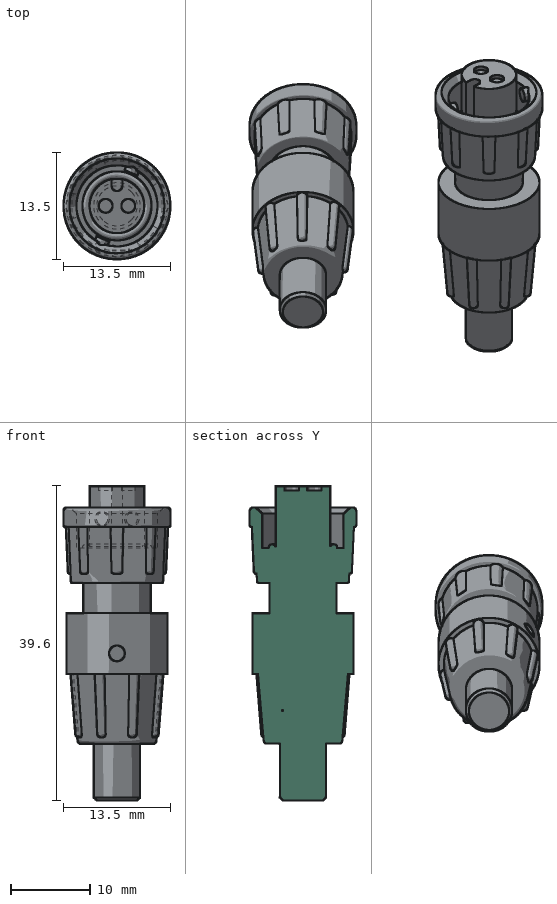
import cadquery as cq


TOTAL_HEIGHT = 39.62
COLLAR_TOP = 36.95
COLLAR_BOTTOM = 34.45
NUT_BOTTOM = 27.4
BARREL_TOP = 23.6
BARREL_BOTTOM = 15.93
TAIL_BOTTOM = 7.15

NOSE_RADIUS = 3.45
COLLAR_DIAMETER = 13.5
COLLAR_RADIUS = COLLAR_DIAMETER / 2
NUT_TOP_RADIUS = 6.15
NUT_BOTTOM_RADIUS = 5.82
NECK_RADIUS = 4.28
BARREL_RADIUS = 6.38
TAIL_TOP_RADIUS = 5.7
TAIL_BOTTOM_RADIUS = 4.95
CABLE_RADIUS = 2.95

COLLAR_TOP_FILLET = 0.48
COLLAR_BOTTOM_FILLET = 0.25
NUT_BOTTOM_FILLET = 0.2
TAIL_FILLET = 0.48
CABLE_CHAMFER = 0.4

SOCKET_RADIUS = 5.1
SOCKET_MOUTH_RADIUS = 6.0
SOCKET_CHAMFER_DEPTH = 0.8
SOCKET_FLOOR = 31.85

SEAL_SECTION_RADIUS = 0.48
SEAL_OUTER_RADIUS = 4.35

PIN_RADIUS = 0.87
PIN_INNER_REACH = 4.5
PIN_HEIGHT = 35.5
PIN_ANGLE = 67

CONTACT_RADIUS = 0.87
CONTACT_OFFSET = 1.43
CONTACT_DEPTH = 0.5
KEYWAY_WIDTH = 1.35
KEYWAY_INNER_REACH = 1.85

BARREL_HOLE_RADIUS = 1.0
BARREL_HOLE_HEIGHT = 18.55
BARREL_HOLE_DEPTH = 0.85

RIB_COUNT = 8
NUT_RIB_TOP_RADIUS = 1.05
NUT_RIB_BOTTOM_RADIUS = 0.85
NUT_RIB_BOTTOM = 28.55
NUT_RIB_PROJECTION = 0.3
NUT_RIB_FILLET = 0.3
TAIL_RIB_TOP_RADIUS = 0.67
TAIL_RIB_BOTTOM_RADIUS = 0.55
TAIL_RIB_BOTTOM = 7.95
TAIL_RIB_PROJECTION = 0.6
TAIL_RIB_FILLET = 0.45


def cylinder(radius, bottom, top):
    return cq.Workplane("XY").workplane(offset=bottom).circle(radius).extrude(top - bottom)


def cone(bottom_radius, top_radius, bottom, top):
    profile = [(0, bottom), (bottom_radius, bottom), (top_radius, top), (0, top)]
    return cq.Workplane("XZ").polyline(profile).close().revolve(360, (0, 0), (0, 1))


def ribs(cone_slope, cone_top_radius, top, rib_bottom, bottom_radius, top_radius, projection, fillet, first_angle):
    """Tapered round ribs that follow a cone and stand proud of it, each with a rounded lower end."""
    length = top - rib_bottom
    crest_top = cone_top_radius + projection
    crest_bottom = crest_top - cone_slope * length
    center_top = top_radius - crest_top
    center_bottom = bottom_radius - crest_bottom
    rib = (
        cq.Workplane("XY", origin=(center_bottom, 0, rib_bottom))
        .circle(bottom_radius)
        .workplane(offset=length)
        .center(center_top - center_bottom, 0)
        .circle(top_radius)
        .loft()
        .faces("<Z")
        .edges()
        .fillet(fillet)
    )
    group = cq.Workplane("XY")
    for index in range(RIB_COUNT):
        angle = first_angle + index * 360 / RIB_COUNT
        group = group.add(rib.rotate((0, 0, 0), (0, 0, 1), angle))
    return group.combine()


def coupling_nut():
    collar = (
        cylinder(COLLAR_RADIUS, COLLAR_BOTTOM, COLLAR_TOP)
        .faces(">Z").edges().fillet(COLLAR_TOP_FILLET)
        .faces("<Z").edges().fillet(COLLAR_BOTTOM_FILLET)
    )
    grip = cone(NUT_BOTTOM_RADIUS, NUT_TOP_RADIUS, NUT_BOTTOM, COLLAR_BOTTOM)
    grip = grip.faces("<Z").edges().fillet(NUT_BOTTOM_FILLET)
    grip_ribs = ribs(
        cone_slope=(NUT_TOP_RADIUS - NUT_BOTTOM_RADIUS) / (COLLAR_BOTTOM - NUT_BOTTOM),
        cone_top_radius=NUT_TOP_RADIUS,
        top=COLLAR_BOTTOM,
        rib_bottom=NUT_RIB_BOTTOM,
        bottom_radius=NUT_RIB_BOTTOM_RADIUS,
        top_radius=NUT_RIB_TOP_RADIUS,
        projection=NUT_RIB_PROJECTION,
        fillet=NUT_RIB_FILLET,
        first_angle=0,
    )
    chamfer_bottom = COLLAR_TOP - SOCKET_CHAMFER_DEPTH
    bore = cylinder(SOCKET_RADIUS, SOCKET_FLOOR, COLLAR_TOP)
    mouth = cone(SOCKET_RADIUS, SOCKET_MOUTH_RADIUS, chamfer_bottom, COLLAR_TOP)
    nut = collar.union(grip).union(grip_ribs).cut(bore).cut(mouth)
    return nut.union(bayonet_pins())


def bayonet_pins():
    wall_middle = (SOCKET_RADIUS + NUT_TOP_RADIUS) / 2
    pin = (
        cq.Workplane("YZ", origin=(PIN_INNER_REACH, 0, PIN_HEIGHT))
        .circle(PIN_RADIUS)
        .extrude(wall_middle - PIN_INNER_REACH)
    ).rotate((0, 0, 0), (0, 0, 1), PIN_ANGLE)
    return pin.union(pin.rotate((0, 0, 0), (0, 0, 1), 180))


def nose():
    body = cylinder(NOSE_RADIUS, SOCKET_FLOOR, TOTAL_HEIGHT)
    contacts = (
        cq.Workplane("XY", origin=(0, 0, TOTAL_HEIGHT))
        .pushPoints([(-CONTACT_OFFSET, 0), (CONTACT_OFFSET, 0)])
        .circle(CONTACT_RADIUS)
        .extrude(-CONTACT_DEPTH)
    )
    half_width = KEYWAY_WIDTH / 2
    round_center = KEYWAY_INNER_REACH + half_width
    keyway = (
        cq.Workplane("XY", origin=(0, 0, TOTAL_HEIGHT))
        .moveTo(-half_width, NOSE_RADIUS)
        .lineTo(-half_width, round_center)
        .threePointArc((0, KEYWAY_INNER_REACH), (half_width, round_center))
        .lineTo(half_width, NOSE_RADIUS)
        .close()
        .extrude(SOCKET_FLOOR - TOTAL_HEIGHT)
    )
    return body.cut(contacts).cut(keyway)


def sealing_ring():
    ring_radius = SEAL_OUTER_RADIUS - SEAL_SECTION_RADIUS
    return (
        cq.Workplane("XZ")
        .moveTo(ring_radius, SOCKET_FLOOR)
        .circle(SEAL_SECTION_RADIUS)
        .revolve(360, (0, 0), (0, 1))
    )


def barrel():
    body = cylinder(BARREL_RADIUS, BARREL_BOTTOM, BARREL_TOP)
    hole = (
        cq.Workplane("XZ", origin=(0, -BARREL_RADIUS, BARREL_HOLE_HEIGHT))
        .circle(BARREL_HOLE_RADIUS)
        .extrude(-BARREL_HOLE_DEPTH)
    )
    return body.cut(hole)


def tail_grip():
    body = cone(TAIL_BOTTOM_RADIUS, TAIL_TOP_RADIUS, TAIL_BOTTOM, BARREL_BOTTOM)
    body = body.faces("<Z").edges().fillet(TAIL_FILLET)
    grip_ribs = ribs(
        cone_slope=(TAIL_TOP_RADIUS - TAIL_BOTTOM_RADIUS) / (BARREL_BOTTOM - TAIL_BOTTOM),
        cone_top_radius=TAIL_TOP_RADIUS,
        top=BARREL_BOTTOM,
        rib_bottom=TAIL_RIB_BOTTOM,
        bottom_radius=TAIL_RIB_BOTTOM_RADIUS,
        top_radius=TAIL_RIB_TOP_RADIUS,
        projection=TAIL_RIB_PROJECTION,
        fillet=TAIL_RIB_FILLET,
        first_angle=180 / RIB_COUNT,
    )
    return body.union(grip_ribs)


neck = cylinder(NECK_RADIUS, BARREL_TOP, NUT_BOTTOM)
cable = cylinder(CABLE_RADIUS, 0, TAIL_BOTTOM).faces("<Z").chamfer(CABLE_CHAMFER)

result = cable
for section in (tail_grip(), barrel(), neck, coupling_nut(), nose(), sealing_ring()):
    result = result.union(section)